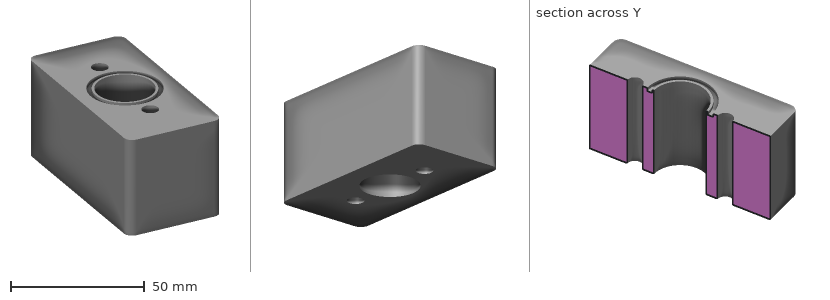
import cadquery as cq

length = 80.0
width = 40.0
height = 40.0
corner_radius = 3.5

bore_diameter = 23.0
groove_inner_diameter = 25.0
groove_outer_diameter = 29.0
groove_depth = 1.5

mount_hole_diameter = 6.65
mount_hole_spacing = 40.0


def make_block():
    """Block standing on Z = 0 with rounded vertical edges."""
    block = cq.Workplane("XY").box(length, width, height, centered=(True, True, False))
    return block.edges("|Z").fillet(corner_radius)


def through_hole(diameter, x):
    """Cutter for a vertical hole through the full height at (x, 0)."""
    return cq.Workplane("XY").center(x, 0).circle(diameter / 2).extrude(height)


def ring_groove():
    """Cutter for the ring groove in the top face, concentric with the bore."""
    return (
        cq.Workplane("XY", origin=(0, 0, height - groove_depth))
        .circle(groove_outer_diameter / 2)
        .circle(groove_inner_diameter / 2)
        .extrude(groove_depth)
    )


result = make_block().cut(through_hole(bore_diameter, 0)).cut(ring_groove())
for side in (-1, 1):
    result = result.cut(through_hole(mount_hole_diameter, side * mount_hole_spacing / 2))